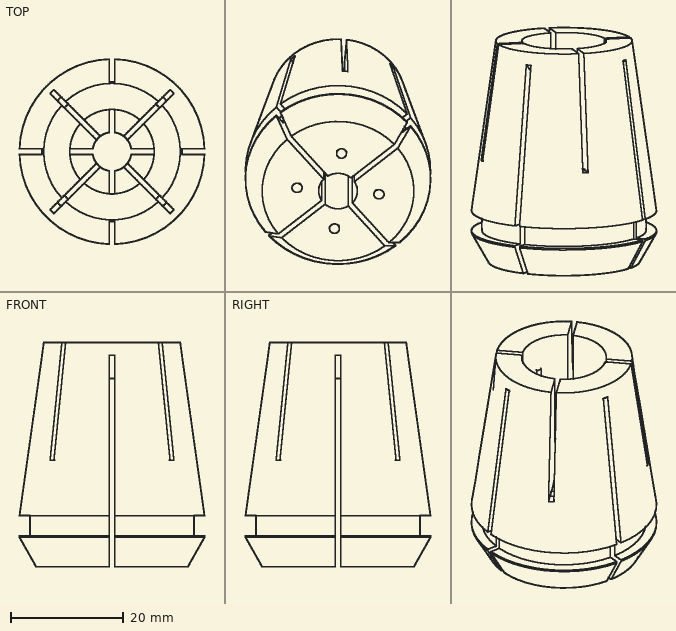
import cadquery as cq
import math

height = 40.0
max_radius = 16.5
top_radius = 12.15
groove_radius = 14.65
bottom_radius = 13.5
nut_taper_top = 5.3
groove_bottom = 5.55
groove_top = 9.15

grip_radius = 3.45
relief_radius = 7.5
relief_floor = 24.8

slot_width = 0.95
slot_count = 4
slot_spacing = 360 / slot_count
slot_reach = max_radius + 2.0
overrun = 2.0

bottom_slot_outer_radius = 12.5
bottom_slot_outer_height = 37.7
bottom_slot_inner_height = 33.55

top_slot_floor = 18.95
top_slot_sweep_start = 11.5
top_slot_inner_height = 22.3

relief_hole_diameter = 1.75
relief_hole_offset = 12.4
relief_hole_lean = 15.0


def make_body():
    profile = [
        (0, 0),
        (bottom_radius, 0),
        (max_radius, nut_taper_top),
        (max_radius, groove_bottom),
        (groove_radius, groove_bottom),
        (groove_radius, groove_top),
        (max_radius, groove_top),
        (top_radius, height),
        (0, height),
    ]
    return cq.Workplane("XZ").polyline(profile).close().revolve(360, (0, 0), (0, 1))


def make_bore():
    grip = cq.Workplane("XY").circle(grip_radius).extrude(height)
    relief = cq.Workplane("XY").workplane(offset=relief_floor)
    return grip.union(relief.circle(relief_radius).extrude(height - relief_floor))


def make_bottom_slot():
    end_slope = (bottom_slot_outer_height - bottom_slot_inner_height) / (
        bottom_slot_outer_radius - relief_radius
    )
    axis_height = bottom_slot_inner_height - end_slope * relief_radius
    reach_height = axis_height + end_slope * slot_reach
    profile = [(0, -overrun), (slot_reach, -overrun), (slot_reach, reach_height), (0, axis_height)]
    return cq.Workplane("XZ").polyline(profile).close().extrude(slot_width / 2, both=True)


def make_top_slot():
    run = top_slot_sweep_start - grip_radius
    rise = top_slot_inner_height - top_slot_floor
    sweep_radius = (run**2 + rise**2) / (2 * rise)
    half_angle = math.atan2(rise, run)
    sweep_middle = (
        top_slot_sweep_start - sweep_radius * math.sin(half_angle),
        top_slot_floor + sweep_radius * (1 - math.cos(half_angle)),
    )
    return (
        cq.Workplane("XZ")
        .moveTo(slot_reach, height + overrun)
        .lineTo(slot_reach, top_slot_floor)
        .lineTo(top_slot_sweep_start, top_slot_floor)
        .threePointArc(sweep_middle, (grip_radius, top_slot_inner_height))
        .lineTo(0, top_slot_inner_height)
        .lineTo(0, height + overrun)
        .close()
        .extrude(slot_width / 2, both=True)
    )


def make_relief_hole():
    length = top_slot_floor / math.cos(math.radians(relief_hole_lean)) + overrun
    drill = (
        cq.Workplane("XY")
        .circle(relief_hole_diameter / 2)
        .extrude(length + overrun)
        .translate((0, 0, -length))
        .rotate((0, 0, 0), (0, 1, 0), relief_hole_lean)
        .translate((relief_hole_offset, 0, top_slot_floor))
    )
    below_floor = cq.Workplane("XY").circle(slot_reach).extrude(top_slot_floor)
    return drill.intersect(below_floor)


result = make_body().cut(make_bore())
bottom_slot = make_bottom_slot()
top_slot = make_top_slot().union(make_relief_hole())
for index in range(slot_count):
    angle = index * slot_spacing
    result = result.cut(bottom_slot.rotate((0, 0, 0), (0, 0, 1), angle))
    result = result.cut(top_slot.rotate((0, 0, 0), (0, 0, 1), angle + slot_spacing / 2))